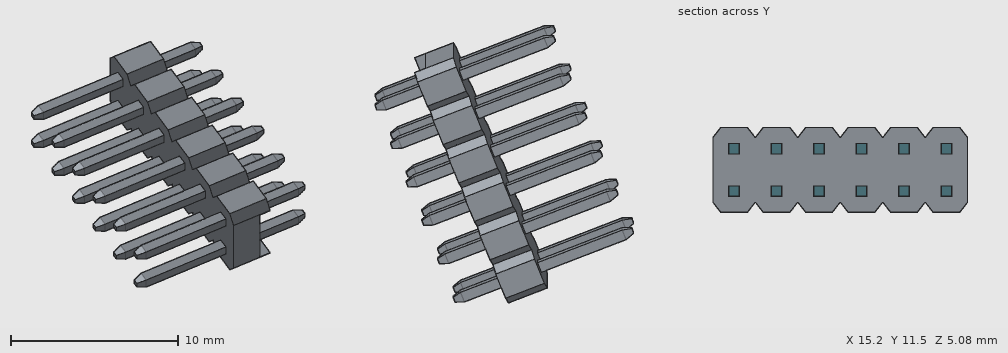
import cadquery as cq

pitch = 2.54
columns = 6
rows = 2
length = columns * pitch
height = rows * pitch

depth = 2.5
notch_half_width = 0.47
notch_depth = 0.6
rail_thickness = 0.65
channel_depth = 0.7

pin_width = 0.64
tip_width = pin_width / 2
tip_length = 0.55
front_reach = 6.0
rear_reach = 3.0

pin_front = -front_reach
pin_rear = depth + rear_reach


def column_x(column):
    """X position of a column's centre."""
    return (column - (columns - 1) / 2) * pitch


def row_z(row):
    """Z position of a row's centre."""
    return (row - (rows - 1) / 2) * pitch


def make_housing():
    """Row of octagonal cells, joined at their sides, with a channel along the rear face."""
    half_cell = pitch / 2
    half_height = height / 2
    flat = half_cell - notch_half_width
    shoulder = half_height - notch_depth
    cell_outline = [
        (-half_cell, -shoulder),
        (-flat, -half_height),
        (flat, -half_height),
        (half_cell, -shoulder),
        (half_cell, shoulder),
        (flat, half_height),
        (-flat, half_height),
        (-half_cell, shoulder),
    ]
    cell = cq.Workplane("XZ", origin=(0, depth, 0)).polyline(cell_outline).close().extrude(depth)
    cells = cq.Workplane("XY")
    for column in range(columns):
        cells = cells.union(cell.translate((column_x(column), 0, 0)))
    channel = cq.Workplane("XY").box(length, channel_depth, height - 2 * rail_thickness)
    return cells.cut(channel.translate((0, depth - channel_depth / 2, 0)))


def make_tip(shank_end, offset):
    """Tapered pin tip from the shank end at Y = shank_end to a smaller square."""
    return (
        cq.Workplane("XZ", origin=(0, shank_end, 0))
        .rect(pin_width, pin_width)
        .workplane(offset=offset)
        .rect(tip_width, tip_width)
        .loft()
    )


def make_pin():
    """Square pin along Y with a tapered tip at each end."""
    shank_front = pin_front + tip_length
    shank_rear = pin_rear - tip_length
    shank = (
        cq.Workplane("XZ", origin=(0, shank_rear, 0))
        .rect(pin_width, pin_width)
        .extrude(shank_rear - shank_front)
    )
    front_tip = make_tip(shank_front, tip_length)
    rear_tip = make_tip(shank_rear, -tip_length)
    return shank.union(front_tip).union(rear_tip)


result = make_housing()
pin = make_pin()
for column in range(columns):
    for row in range(rows):
        result = result.union(pin.translate((column_x(column), 0, row_z(row))))